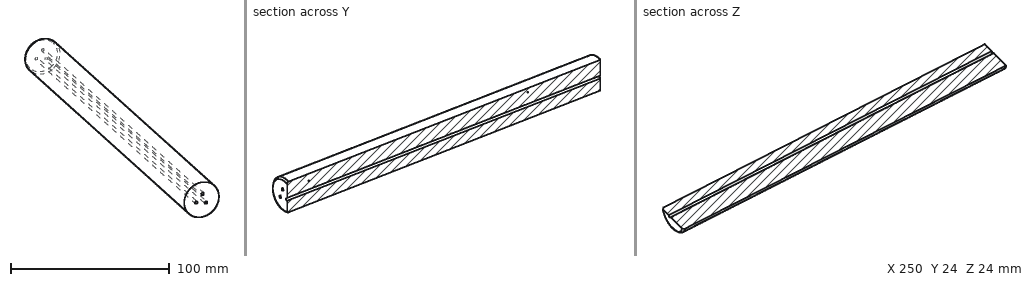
import cadquery as cq
import math

rod_length = 250.0
rod_diameter = 24.0
chamfer_size = 1.2

bore_count = 3
bore_diameter = 1.75
pitch_radius = 3.95
first_bore_angle = 80.0


def make_rod():
    """Round bar with a chamfer on its -X end only."""
    rod = cq.Workplane("YZ").circle(rod_diameter / 2).extrude(rod_length)
    return rod.faces("<X").edges().chamfer(chamfer_size)


def bore_centres():
    """(Y, Z) centres of the bores."""
    angles = [
        math.radians(first_bore_angle + index * 360.0 / bore_count)
        for index in range(bore_count)
    ]
    return [(pitch_radius * math.cos(angle), pitch_radius * math.sin(angle)) for angle in angles]


def make_bores():
    """Straight bores running the full length of the rod."""
    return (
        cq.Workplane("YZ")
        .pushPoints(bore_centres())
        .circle(bore_diameter / 2)
        .extrude(rod_length)
    )


result = make_rod().cut(make_bores())